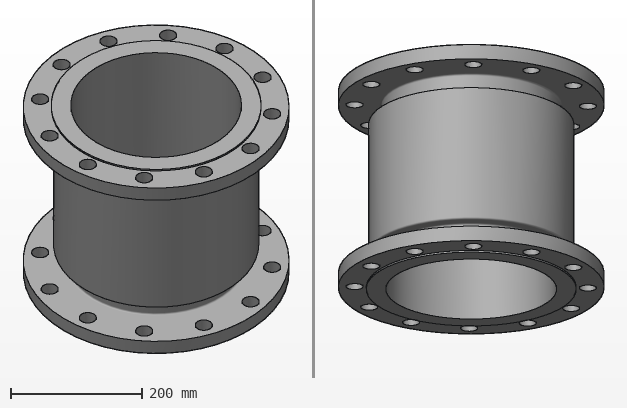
import cadquery as cq

flange_diameter = 405.0
total_height = 325.0
bore_diameter = 260.0

raised_face_diameter = 320.0
raised_face_height = 3.0
flange_thickness = 23.5

bolt_circle_diameter = 355.0
bolt_hole_diameter = 26.0
bolt_hole_count = 12

neck_diameter = 273.0
neck_fillet_radius = 3.0
body_diameter = 313.0
body_height = 214.5
body_edge_radius = 3.0

neck_radius = neck_diameter / 2
flange_radius = flange_diameter / 2
raised_face_radius = raised_face_diameter / 2
body_top = body_height / 2
raised_face_top = total_height / 2
flange_top = raised_face_top - raised_face_height
flange_bottom = flange_top - flange_thickness


def centred_cylinder(diameter, height):
    """Solid cylinder along Z, centred on the origin."""
    return cq.Workplane("XY").cylinder(height, diameter / 2)


def make_body():
    """Wide middle body with rounded outer edges."""
    return centred_cylinder(body_diameter, body_height).edges("%CIRCLE").fillet(body_edge_radius)


def make_upper_end():
    """Solid revolved end: neck with a fillet at each corner, flange and raised face."""
    neck_fillet_edge = neck_radius + neck_fillet_radius
    profile = (
        cq.Workplane("XZ")
        .moveTo(0, body_top)
        .lineTo(neck_fillet_edge, body_top)
        .radiusArc((neck_radius, body_top + neck_fillet_radius), neck_fillet_radius)
        .lineTo(neck_radius, flange_bottom - neck_fillet_radius)
        .radiusArc((neck_fillet_edge, flange_bottom), neck_fillet_radius)
        .lineTo(flange_radius, flange_bottom)
        .lineTo(flange_radius, flange_top)
        .lineTo(raised_face_radius, flange_top)
        .lineTo(raised_face_radius, raised_face_top)
        .lineTo(0, raised_face_top)
        .close()
    )
    return profile.revolve(360, (0, 0, 0), (0, 1, 0))


def make_bolt_holes():
    """Cutters for the bolt circle; the holes straddle the X and Y axes."""
    half_pitch_angle = 180 / bolt_hole_count
    return (
        cq.Workplane("XY")
        .polarArray(bolt_circle_diameter / 2, half_pitch_angle, 360, bolt_hole_count)
        .circle(bolt_hole_diameter / 2)
        .extrude(total_height / 2, both=True)
    )


upper_end = make_upper_end()
lower_end = upper_end.mirror("XY")
spool = make_body().union(upper_end).union(lower_end)

bore = centred_cylinder(bore_diameter, total_height)
result = spool.cut(bore).cut(make_bolt_holes())